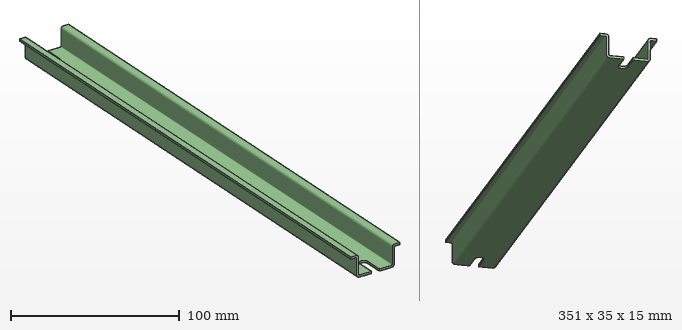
import cadquery as cq

rail_length = 351.0
rail_width = 35.0
rail_height = 15.0
channel_width = 27.0
sheet_thickness = 1.5

floor_inner_radius = 0.5
floor_outer_radius = floor_inner_radius + sheet_thickness
flange_inner_radius = 0.8
flange_outer_radius = 1.8

slot_depth = 15.0
slot_width = 5.5

half_width = rail_width / 2
wall_outer_y = channel_width / 2
wall_inner_y = wall_outer_y - sheet_thickness
flange_underside_z = rail_height - sheet_thickness


def box_between(y_half, z_low, z_high):
    """Full-length block, symmetric about the XZ plane."""
    return cq.Workplane("XY").box(
        rail_length, 2 * y_half, z_high - z_low, centered=(True, True, False)
    ).translate((0, 0, z_low))


def make_rail():
    """Bent-sheet profile: floor, two walls and two outward flanges."""
    channel = box_between(wall_outer_y, 0, rail_height)
    flanges = box_between(half_width, flange_underside_z, rail_height)
    cavity = box_between(wall_inner_y, sheet_thickness, rail_height)
    return channel.union(flanges).cut(cavity)


def round_bend(rail, y, z, radius):
    """Round the two mirrored lengthwise edges at +y and -y, height z."""
    for side in (-1, 1):
        edge = cq.selectors.NearestToPointSelector((0, side * y, z))
        rail = rail.edges("|X").edges(edge).fillet(radius)
    return rail


def make_end_slot(end):
    """Slot cutter entering from the rail end at -X (end=-1) or +X (end=1)."""
    round_centre = rail_length / 2 - slot_depth + slot_width / 2
    straight_length = rail_length / 2 - round_centre
    straight = cq.Workplane("XY").box(
        straight_length, slot_width, sheet_thickness, centered=(True, True, False)
    ).translate((end * (round_centre + straight_length / 2), 0, 0))
    tip = cq.Workplane("XY").center(end * round_centre, 0)
    tip = tip.circle(slot_width / 2).extrude(sheet_thickness)
    return straight.union(tip)


result = make_rail()
result = round_bend(result, wall_outer_y, 0, floor_outer_radius)
result = round_bend(result, wall_inner_y, sheet_thickness, floor_inner_radius)
result = round_bend(result, wall_inner_y, rail_height, flange_outer_radius)
result = round_bend(result, wall_outer_y, flange_underside_z, flange_inner_radius)
for rail_end in (-1, 1):
    result = result.cut(make_end_slot(rail_end))